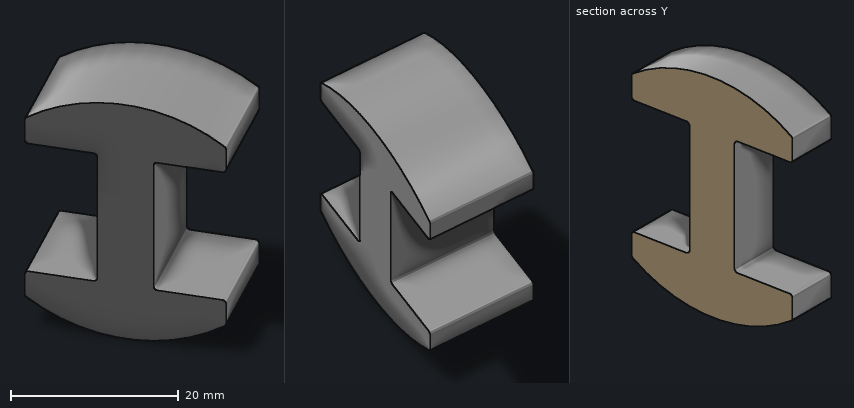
import cadquery as cq
import math

width = 25.0
depth = 14.5
height = 32.67

web_width = 7.0
flange_gap = 17.8
crown_radius = 21.8
root_radius = 0.5
tip_radius = 0.5
shoulder_radius = 0.5

half_width = width / 2
half_web = web_width / 2
half_gap = flange_gap / 2
half_height = height / 2
crown_drop = crown_radius - math.sqrt(crown_radius**2 - half_width**2)
shoulder_z = half_height - crown_drop


def i_section():
    """Sharp-cornered I section in the XZ plane, extruded symmetrically along Y."""
    return (
        cq.Workplane("XZ")
        .moveTo(-half_width, shoulder_z)
        .threePointArc((0, half_height), (half_width, shoulder_z))
        .lineTo(half_width, half_gap)
        .lineTo(half_web, half_gap)
        .lineTo(half_web, -half_gap)
        .lineTo(half_width, -half_gap)
        .lineTo(half_width, -shoulder_z)
        .threePointArc((0, -half_height), (-half_width, -shoulder_z))
        .lineTo(-half_width, -half_gap)
        .lineTo(-half_web, -half_gap)
        .lineTo(-half_web, half_gap)
        .lineTo(-half_width, half_gap)
        .close()
        .extrude(depth / 2, both=True)
    )


def round_edges(body, x, z, radius):
    """Fillet the four Y-direction edges at (+-x, +-z)."""
    margin = 0.1
    for side in (-1, 1):
        for end in (-1, 1):
            corner = cq.selectors.BoxSelector(
                (side * x - margin, -depth, end * z - margin),
                (side * x + margin, depth, end * z + margin),
            )
            body = body.edges("|Y").edges(corner).fillet(radius)
    return body


result = i_section()
result = round_edges(result, half_web, half_gap, root_radius)
result = round_edges(result, half_width, half_gap, tip_radius)
result = round_edges(result, half_width, shoulder_z, shoulder_radius)